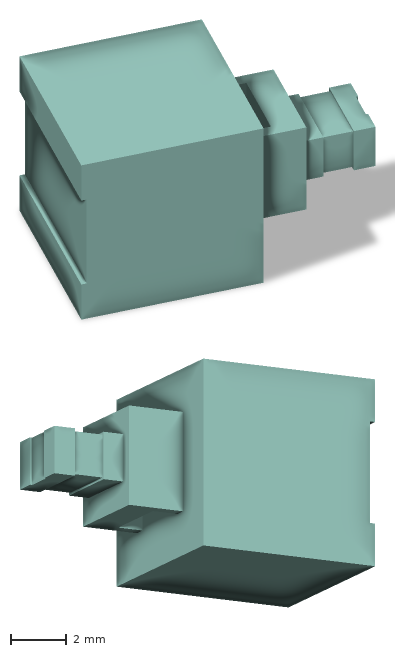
import cadquery as cq

body_side = 7.0
groove_height = 3.8
groove_depth = 0.2

collar_side = 3.72
collar_length = 2.2
window_width = 2.8
window_length = 1.0

total_length = 12.0
stem_width = 2.8
stem_height = 1.78
flange_length = 0.8
head_length = 0.83
neck_width = 2.58
neck_height = 1.61
notch_width = 1.12
notch_depth = 0.08

collar_start = body_side
stem_start = collar_start + collar_length
neck_start = stem_start + flange_length
head_start = total_length - head_length
notch_start = total_length - notch_depth


def block(width, start, end, height):
    """Box centred on X and Z, running from start to end along Y."""
    return cq.Workplane("XY").box(width, end - start, height).translate((0, (start + end) / 2, 0))


body = block(body_side, 0, body_side, body_side)
body = body.cut(block(body_side, 0, groove_depth, groove_height))

collar = block(collar_side, collar_start, stem_start, collar_side)
collar = collar.cut(block(window_width, collar_start, collar_start + window_length, collar_side))

flange = block(stem_width, stem_start, neck_start, stem_height)
neck = block(neck_width, neck_start, head_start, neck_height)
head = block(stem_width, head_start, total_length, stem_height)
head = head.cut(block(notch_width, notch_start, total_length, stem_height))

result = body.union(collar).union(flange).union(neck).union(head)